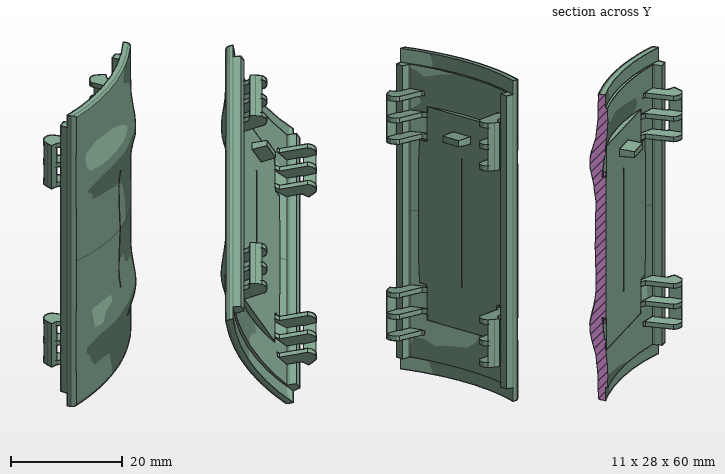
import cadquery as cq
import math

length = 60.0
width = 28.0
half_length = length / 2
half_width = width / 2

back_x = 5.35
side_front_x = 6.05
front_edge_x = 7.0
front_edge_y = half_width - 0.6
rounding_x = 6.6
rounding_y = half_width - 0.2
rounding_end_x = front_edge_x + 0.2
rounding_end_y = front_edge_y - 0.1

middle_crown = 3.1
end_crown = 2.05
ridge_z = 16.1
ridge_rise = 1.45
ridge_spread_inside = 2.95
ridge_spread_outside = 3.2
crown_power = 2
ridge_power = 7
ridge_foot_power = 1.5
surface_steps = 24
surface_margin = 0.6
end_fillet = 0.4

band_length = 2.6
band_crown_x = 7.7
inner_half_length = half_length - band_length

hollow_half_width = 12.0
hollow_stations = [
    (0.0, 9.8, 5.75),
    (6.6, 9.6, 5.75),
    (13.2, 9.1, 5.75),
    (19.8, 7.7, 5.75),
    (inner_half_length, 7.15, 5.7),
]

pad_x = 6.6
pad_half_height = 20.0
pad_half_width = 8.6
notch_z = 13.4
notch_radius = 0.55

rail_back_x = 3.95
rail_back_outer_y = 13.7
rail_back_inner_y = 12.2

fin_thickness = 0.9
fin_pitch = 4.0
fin_count = 3
clip_top_z = 22.85
clip_height = fin_pitch * (fin_count - 1) + fin_thickness
fin_root_x = 7.2
bar_inner_y = 12.55

block_back_x = 3.8
block_z = 15.95
block_base_width = 4.25
block_base_height = 1.45
block_taper = 3.0

strip_thickness = 0.2
strip_height = 24.0


def box(x_min, x_max, y_min, y_max, z_min, z_max):
    """Box given by its limits."""
    return (
        cq.Workplane("XY")
        .box(x_max - x_min, y_max - y_min, z_max - z_min, centered=False)
        .translate((x_min, y_min, z_min))
    )


def with_mirror(solid, plane):
    """A solid joined to its mirror image."""
    return solid.union(solid.mirror(plane))


def front_depth(y, z):
    """Depth of the front face at a place in the upper half."""
    across = abs(y) / front_edge_y
    crown = middle_crown + (end_crown - middle_crown) * z / half_length
    spread = ridge_spread_inside if z < ridge_z else ridge_spread_outside
    ridge = ridge_rise * math.exp(-((z - ridge_z) / spread) ** 2 / 2)
    ridge_share = max(0, 1 - across ** ridge_power) ** ridge_foot_power
    return front_edge_x + crown * (1 - across ** crown_power) + ridge * ridge_share


def front_point(column, row):
    """Point of the front face; the grid reaches a little past the upper half."""
    y = (width + 2 * surface_margin) * (column / surface_steps - 0.5)
    z = (half_length + 2 * surface_margin) * row / surface_steps - surface_margin
    return cq.Vector(front_depth(y, z), y, z)


def make_front_space():
    """Space behind the front face of the upper half."""
    steps = range(surface_steps + 1)
    face = cq.Face.makeSplineApprox([[front_point(column, row) for row in steps] for column in steps], tol=0.01)
    return cq.Workplane(cq.Solid.extrudeLinear(face, cq.Vector(-width, 0, 0)))


def make_side_outline():
    """Upper half of a block with rounded side edges, open-ended towards the front."""
    return (
        cq.Workplane("XY")
        .moveTo(back_x, -half_width)
        .lineTo(side_front_x, -half_width)
        .threePointArc((rounding_x, -rounding_y), (rounding_end_x, -rounding_end_y))
        .lineTo(length, -rounding_end_y)
        .lineTo(length, rounding_end_y)
        .lineTo(rounding_end_x, rounding_end_y)
        .threePointArc((rounding_x, rounding_y), (side_front_x, half_width))
        .lineTo(back_x, half_width)
        .close()
        .extrude(half_length)
    )


def make_outer_shape():
    """Both halves of the outer shape, with the front edge of each end rounded."""
    upper = make_side_outline().intersect(make_front_space())
    upper = upper.faces(">Z").edges("%BSPLINE").fillet(end_fillet)
    return with_mirror(upper, "XY")


def make_band_hollow():
    """Curved space behind the end bands, running the full length."""
    return (
        cq.Workplane("XY", origin=(0, 0, -length))
        .moveTo(back_x, -half_width)
        .threePointArc((band_crown_x, 0), (back_x, half_width))
        .lineTo(0, half_width)
        .lineTo(0, -half_width)
        .close()
        .extrude(2 * length)
    )


def make_band_filling():
    """Space between the end bands."""
    return box(back_x, length, -half_width, half_width, -inner_half_length, inner_half_length)


def hollow_section(z, crown_x, edge_x):
    """Closed cross-section of the hollow at one height."""
    return (
        cq.Workplane("XY", origin=(0, 0, z))
        .moveTo(edge_x, -hollow_half_width)
        .threePointArc((crown_x, 0), (edge_x, hollow_half_width))
        .lineTo(0, hollow_half_width)
        .lineTo(0, -hollow_half_width)
        .close()
        .val()
    )


def make_hollow():
    """Hollow between the end bands, leaving the flat pad standing."""
    upper = cq.Workplane(cq.Solid.makeLoft([hollow_section(*station) for station in hollow_stations]))
    behind_pad = box(0, pad_x, -half_width, half_width, 0, half_length)
    beyond_pad = box(0, length, -half_width, half_width, pad_half_height, half_length)
    notch = box(0, length, pad_half_width, half_width, notch_z, half_length)
    notch = notch.edges("|X and <Y and <Z").fillet(notch_radius)
    open_space = behind_pad.union(beyond_pad).union(with_mirror(notch, "XZ"))
    return with_mirror(upper.intersect(open_space), "XY")


def make_rails():
    """Side rails, each with a sloped outer back edge."""
    rail = (
        cq.Workplane("XY", origin=(0, 0, -inner_half_length))
        .polyline([
            (rail_back_x, rail_back_inner_y),
            (rail_back_x, rail_back_outer_y),
            (back_x, half_width),
            (back_x, hollow_half_width),
        ])
        .close()
        .extrude(2 * inner_half_length)
    )
    return with_mirror(rail, "XZ")


def clip_profile(height):
    """Hooked clip outline, extruded upward from z = 0."""
    return (
        cq.Workplane("XY")
        .moveTo(0.9, 9.95)
        .threePointArc((0, 11.45), (0.35, 12.6))
        .lineTo(1.3, 13.2)
        .lineTo(2.2, 13.6)
        .lineTo(2.75, 12.6)
        .threePointArc((3.1, 12.3), (3.7, 12.2))
        .lineTo(fin_root_x, 12.2)
        .lineTo(fin_root_x, pad_half_width)
        .lineTo(pad_x, pad_half_width)
        .lineTo(6.1, 9.4)
        .close()
        .extrude(height)
    )


def make_clips():
    """Four clips, mirrored about the two middle planes."""
    clip = clip_profile(clip_height).intersect(box(0, fin_root_x, bar_inner_y, half_width, 0, clip_height))
    for index in range(fin_count):
        clip = clip.union(clip_profile(fin_thickness).translate((0, 0, index * fin_pitch)))
    clip = clip.translate((0, 0, clip_top_z - clip_height))
    return with_mirror(with_mirror(clip, "XZ"), "XY")


def make_block():
    """Tapered block that stands on the back of the pad."""
    return (
        cq.Workplane("YZ", origin=(pad_x, 0, block_z))
        .rect(block_base_width, block_base_height)
        .extrude(block_back_x - pad_x, taper=block_taper)
    )


def make_strip(outer_shape):
    """Strip that reaches from the pad to the outer face."""
    half_thickness = strip_thickness / 2
    slot = box(pad_x, length, -half_thickness, half_thickness, -strip_height / 2, strip_height / 2)
    return outer_shape.intersect(slot)


def make_cover(outer_shape, strip):
    """Cover with its rails, clips and block, slotted for the strip."""
    cover = outer_shape.cut(make_band_hollow())
    filling = outer_shape.intersect(make_band_filling())
    cover = cover.union(filling).cut(make_hollow())
    cover = cover.union(make_rails()).union(make_clips()).union(make_block())
    return cover.cut(strip)


outer_shape = make_outer_shape()
strip = make_strip(outer_shape)
cover = make_cover(outer_shape, strip)

result = cq.Compound.makeCompound([cover.val(), strip.val()])